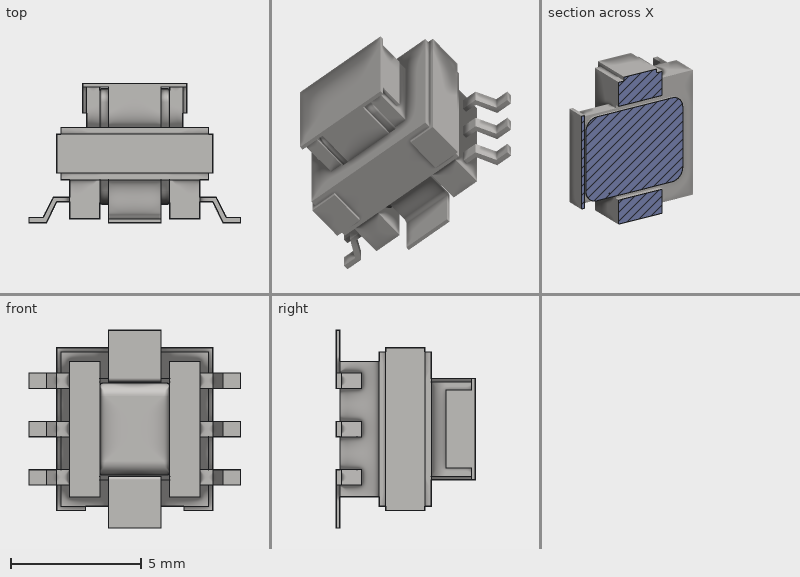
import cadquery as cq


TOTAL_WIDTH = 8.13
TOTAL_DEPTH = 5.35
TOTAL_HEIGHT = 7.6

BODY_FRONT = 1.65
BODY_DEPTH = 2.01
FLANGE_WIDTH = 5.67
FLANGE_HEIGHT = 5.93
TAPE_THICKNESS = 0.16
TAPE_DEPTH = 1.5
TAPE_GAP_WIDTH = 3.77
BODY_BACK = BODY_FRONT + BODY_DEPTH
TAPE_FRONT = BODY_FRONT + (BODY_DEPTH - TAPE_DEPTH) / 2

CENTRE_WIDTH = 2.68
CENTRE_HEIGHT = 3.52
CENTRE_FRONT = 0.71
CENTRE_DEPTH = 4.44
CENTRE_END_RADIUS = 0.51
CENTRE_SIDE_RADIUS = 0.1

SHEET = 0.15
LEG_THICKNESS = 0.135
CLIP_WIDTH = 4.0
CLIP_HEIGHT = 3.89
LEG_WIDTH = 2.02
FLAP_HEIGHT = 3.0
FLAP_DEPTH = 1.14
PLATE_FRONT = TOTAL_DEPTH - SHEET
FOOT_BEND_INNER_RADIUS = 0.16
FOOT_BEND_OUTER_RADIUS = LEG_THICKNESS

TERMINAL_BLOCK_WIDTH = 1.16
TERMINAL_BLOCK_HEIGHT = 5.2
TERMINAL_BLOCK_FRONT = SHEET
POST_WIDTH = CLIP_WIDTH / 2 - SHEET - CENTRE_WIDTH / 2
POST_HEIGHT = CLIP_HEIGHT - 2 * LEG_THICKNESS

PINS_PER_SIDE = 3
PIN_PITCH = 1.853
PIN_WIDTH = 0.6
PIN_FOOT_THICKNESS = 0.21
PIN_FOOT_LENGTH = 0.68
PIN_FOOT_TOP_LENGTH = 0.55
PIN_SHOULDER_BACK = 0.985
PIN_SHOULDER_THICKNESS = 0.18
PIN_SHOULDER_FRONT_CORNER = 2.995
PIN_SHOULDER_BACK_CORNER = 3.12
PIN_ROOT = CENTRE_WIDTH / 2 + TERMINAL_BLOCK_WIDTH


def block(width, height, front, back, x=0.0, z=0.0):
    """Box centred at (x, z) that reaches from Y = front to Y = back."""
    depth = back - front
    return cq.Workplane("XY").box(width, depth, height).translate((x, front + depth / 2, z))


def make_bobbin():
    flanges = block(FLANGE_WIDTH, FLANGE_HEIGHT, BODY_FRONT, BODY_BACK)
    tape_back = TAPE_FRONT + TAPE_DEPTH
    tape_height = FLANGE_HEIGHT + 2 * TAPE_THICKNESS
    tape = block(FLANGE_WIDTH + 2 * TAPE_THICKNESS, tape_height, TAPE_FRONT, tape_back)
    gap_z = -(FLANGE_HEIGHT + TAPE_THICKNESS) / 2
    tape_gap = block(TAPE_GAP_WIDTH, TAPE_THICKNESS, TAPE_FRONT, tape_back, z=gap_z)
    opening = block(CENTRE_WIDTH, CLIP_HEIGHT, BODY_FRONT, BODY_BACK)
    return flanges.union(tape).cut(tape_gap).cut(opening)


def make_centre_block():
    centre = block(CENTRE_WIDTH, CENTRE_HEIGHT, CENTRE_FRONT, CENTRE_FRONT + CENTRE_DEPTH)
    centre = centre.edges("|X").fillet(CENTRE_END_RADIUS)
    return centre.faces("<X or >X").edges().fillet(CENTRE_SIDE_RADIUS)


def make_side_blocks(side):
    """Front terminal block and rear post on one side (side is -1 or 1)."""
    inner = CENTRE_WIDTH / 2
    terminal_block = block(
        TERMINAL_BLOCK_WIDTH,
        TERMINAL_BLOCK_HEIGHT,
        TERMINAL_BLOCK_FRONT,
        BODY_FRONT,
        x=side * (inner + TERMINAL_BLOCK_WIDTH / 2),
    )
    post = block(POST_WIDTH, POST_HEIGHT, BODY_BACK, PLATE_FRONT, x=side * (inner + POST_WIDTH / 2))
    return terminal_block.union(post)


def make_leg():
    """Upper clip leg with its foot bent upward at the seating plane."""
    leg_top = CLIP_HEIGHT / 2
    leg_bottom = leg_top - LEG_THICKNESS
    foot_end = TOTAL_HEIGHT / 2
    return (
        cq.Workplane("YZ")
        .moveTo(PLATE_FRONT, leg_bottom)
        .lineTo(FOOT_BEND_OUTER_RADIUS, leg_bottom)
        .radiusArc((0, leg_bottom + FOOT_BEND_OUTER_RADIUS), FOOT_BEND_OUTER_RADIUS)
        .lineTo(0, foot_end)
        .lineTo(SHEET, foot_end)
        .lineTo(SHEET, leg_top + FOOT_BEND_INNER_RADIUS)
        .radiusArc((SHEET + FOOT_BEND_INNER_RADIUS, leg_top), -FOOT_BEND_INNER_RADIUS)
        .lineTo(PLATE_FRONT, leg_top)
        .close()
        .extrude(LEG_WIDTH / 2, both=True)
    )


def make_clip():
    clip = block(CLIP_WIDTH, CLIP_HEIGHT, PLATE_FRONT, TOTAL_DEPTH)
    flap_front = TOTAL_DEPTH - FLAP_DEPTH
    for side in (-1, 1):
        flap_x = side * (CLIP_WIDTH - SHEET) / 2
        clip = clip.union(block(SHEET, FLAP_HEIGHT, flap_front, PLATE_FRONT, x=flap_x))
    leg = make_leg()
    return clip.union(leg).union(leg.mirror("XY"))


def make_pin(z):
    """Right-hand gull-wing pin centred at height z."""
    tip = TOTAL_WIDTH / 2
    outline = [
        (PIN_ROOT, PIN_SHOULDER_BACK),
        (PIN_SHOULDER_BACK_CORNER, PIN_SHOULDER_BACK),
        (tip - PIN_FOOT_TOP_LENGTH, PIN_FOOT_THICKNESS),
        (tip, PIN_FOOT_THICKNESS),
        (tip, 0),
        (tip - PIN_FOOT_LENGTH, 0),
        (PIN_SHOULDER_FRONT_CORNER, PIN_SHOULDER_BACK - PIN_SHOULDER_THICKNESS),
        (PIN_ROOT, PIN_SHOULDER_BACK - PIN_SHOULDER_THICKNESS),
    ]
    pin = cq.Workplane("XY").polyline(outline).close().extrude(PIN_WIDTH / 2, both=True)
    return pin.translate((0, 0, z))


result = make_bobbin().union(make_centre_block()).union(make_clip())

for side in (-1, 1):
    result = result.union(make_side_blocks(side))

for row in range(PINS_PER_SIDE):
    pin = make_pin((row - (PINS_PER_SIDE - 1) / 2) * PIN_PITCH)
    result = result.union(pin).union(pin.mirror("YZ"))